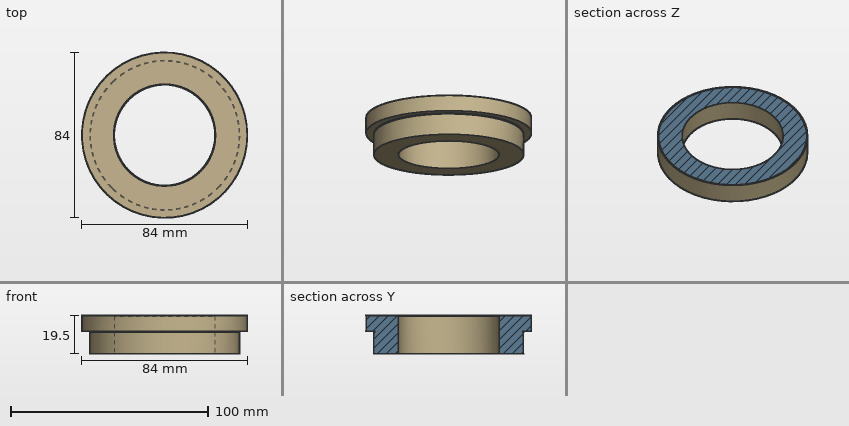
import cadquery as cq

flange_diameter = 84.0
spigot_diameter = 76.1
bore_diameter = 51.1
total_height = 19.5
flange_height = 8.15
bore_chamfer = 0.3
relief_height = 0.5
relief_depth = 0.3

spigot_height = total_height - flange_height

spigot = cq.Workplane("XY").circle(spigot_diameter / 2).extrude(spigot_height)
flange = (
    cq.Workplane("XY", origin=(0, 0, spigot_height))
    .circle(flange_diameter / 2)
    .extrude(flange_height)
)
body = spigot.union(flange)

relief = (
    cq.Workplane("XY", origin=(0, 0, spigot_height - relief_height))
    .circle(spigot_diameter / 2)
    .circle(spigot_diameter / 2 - relief_depth)
    .extrude(relief_height)
)
body = body.cut(relief)

bore = cq.Workplane("XY").circle(bore_diameter / 2).extrude(total_height)
bore = bore.union(
    cq.Workplane("XY", origin=(0, 0, total_height - bore_chamfer))
    .circle(bore_diameter / 2)
    .workplane(offset=bore_chamfer)
    .circle(bore_diameter / 2 + bore_chamfer)
    .loft()
)

result = body.cut(bore)